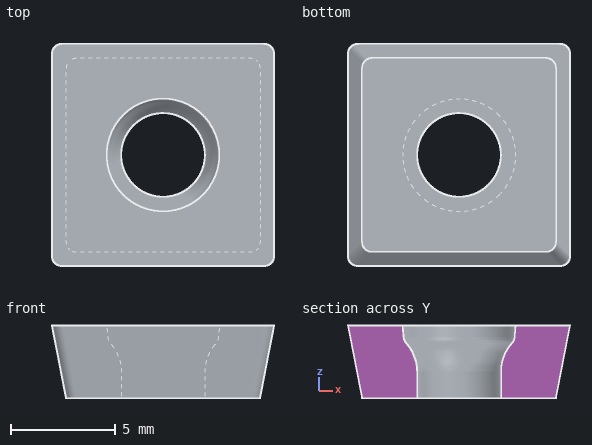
import cadquery as cq
import math

top_width = 10.65
thickness = 3.5
relief_angle = 11.0
corner_radius = 0.5

bore_radius = 4.0 / 2
recess_radius = 5.4 / 2
recess_draft = 5.0
seat_radius = 2.0
seat_end_depth = 2.2
blend_radius = 0.5


def make_body():
    """Square frustum with its side edges rounded at a constant radius."""
    body = (
        cq.Workplane("XY")
        .workplane(offset=thickness)
        .rect(top_width, top_width)
        .extrude(-thickness, taper=relief_angle)
    )
    side_edges = body.edges("not(#Z)")
    return side_edges.fillet(corner_radius)


def point_on_arc(center, radius, angle):
    """Point at an angle (radians) on a circle in the radius-height plane."""
    return (center[0] + radius * math.cos(angle), center[1] + radius * math.sin(angle))


def make_hole():
    """Revolved cutter for the screw hole."""
    seat_center = (bore_radius + seat_radius, thickness - seat_end_depth)
    draft = math.radians(recess_draft)

    run = seat_center[0] - recess_radius
    drop = thickness - seat_center[1]
    across_wall = run * math.cos(draft) + drop * math.sin(draft)
    along_wall = drop * math.cos(draft) - run * math.sin(draft)

    center_distance = seat_radius + blend_radius
    contact_to_wall = math.acos((across_wall + blend_radius) / center_distance)
    wall_length = along_wall - center_distance * math.sin(contact_to_wall)
    contact_tilt = contact_to_wall + draft

    recess_end = (
        recess_radius - wall_length * math.sin(draft),
        thickness - wall_length * math.cos(draft),
    )
    blend_center = point_on_arc(recess_end, blend_radius, math.pi - draft)
    blend_middle = point_on_arc(blend_center, blend_radius, -(draft + contact_tilt) / 2)
    contact = point_on_arc(blend_center, blend_radius, -contact_tilt)
    seat_middle = point_on_arc(seat_center, seat_radius, math.pi - contact_tilt / 2)
    seat_end = point_on_arc(seat_center, seat_radius, math.pi)

    return (
        cq.Workplane("XZ")
        .moveTo(0, thickness)
        .lineTo(recess_radius, thickness)
        .lineTo(*recess_end)
        .threePointArc(blend_middle, contact)
        .threePointArc(seat_middle, seat_end)
        .lineTo(bore_radius, 0)
        .lineTo(0, 0)
        .close()
        .revolve(360, (0, 0, 0), (0, 1, 0))
    )


result = make_body().cut(make_hole())